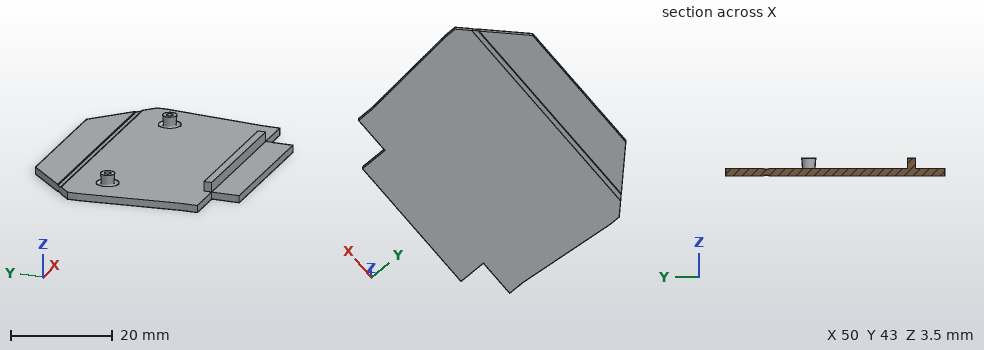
import cadquery as cq

total_depth = 43.0
half_width = 25.0
half_rear_width = 14.2
half_front_width = 23.0
front_edge_y = 5.75
front_side_end_y = 9.1
shoulder_start_y = 30.0
shoulder_end_y = 32.2
plate_thickness = 1.5

total_height = 3.5
tab_width = 30.0
ridge_depth = 1.6

groove_front_y = 34.5
groove_rear_y = 35.55
groove_wall_run = 0.15
groove_depth = 0.15

pin_x = 17.3
pin_y = 26.7
pin_base_radius = 1.25
pin_top_radius = 1.4
pin_hole_top_radius = 0.65
pin_hole_bottom_radius = 0.5
pin_hole_depth = 2.0
pin_hole_tip_depth = 0.3
dish_outer_radius = 2.25
dish_depth = 0.5


def make_plate():
    right_side = [
        (half_front_width, front_edge_y),
        (half_front_width, front_side_end_y),
        (half_width, shoulder_start_y),
        (half_width, shoulder_end_y),
        (half_rear_width, total_depth),
    ]
    left_side = [(-x, y) for x, y in reversed(right_side)]
    return cq.Workplane("XY").polyline(right_side + left_side).close().extrude(plate_thickness)


def make_tab_and_ridge():
    ridge_rear_y = front_edge_y + ridge_depth
    profile = [
        (0, 0),
        (ridge_rear_y, 0),
        (ridge_rear_y, total_height),
        (front_edge_y, total_height),
        (front_edge_y, plate_thickness),
        (0, plate_thickness),
    ]
    return cq.Workplane("YZ").polyline(profile).close().extrude(tab_width / 2, both=True)


def make_groove(face_z, floor_z):
    profile = [
        (groove_front_y, face_z),
        (groove_front_y, floor_z),
        (groove_rear_y - groove_wall_run, floor_z),
        (groove_rear_y, face_z),
    ]
    return cq.Workplane("YZ").polyline(profile).close().extrude(half_width, both=True)


def revolve_at_pin(profile, x):
    return profile.close().revolve(360, (0, 0), (0, 1)).translate((x, pin_y, 0))


def make_dish(x):
    middle_radius = (pin_base_radius + dish_outer_radius) / 2
    profile = (
        cq.Workplane("XZ")
        .moveTo(pin_base_radius, plate_thickness)
        .threePointArc(
            (middle_radius, plate_thickness - dish_depth),
            (dish_outer_radius, plate_thickness),
        )
    )
    return revolve_at_pin(profile, x)


def make_pin(x):
    profile = cq.Workplane("XZ").polyline([
        (0, plate_thickness),
        (pin_base_radius, plate_thickness),
        (pin_top_radius, total_height),
        (0, total_height),
    ])
    return revolve_at_pin(profile, x)


def make_pin_hole(x):
    hole_bottom = total_height - pin_hole_depth
    profile = cq.Workplane("XZ").polyline([
        (0, hole_bottom - pin_hole_tip_depth),
        (pin_hole_bottom_radius, hole_bottom),
        (pin_hole_top_radius, total_height),
        (0, total_height),
    ])
    return revolve_at_pin(profile, x)


result = make_plate().union(make_tab_and_ridge())
result = result.cut(make_groove(plate_thickness, plate_thickness - groove_depth))
result = result.cut(make_groove(0, groove_depth))
for x in (-pin_x, pin_x):
    result = result.cut(make_dish(x)).union(make_pin(x)).cut(make_pin_hole(x))